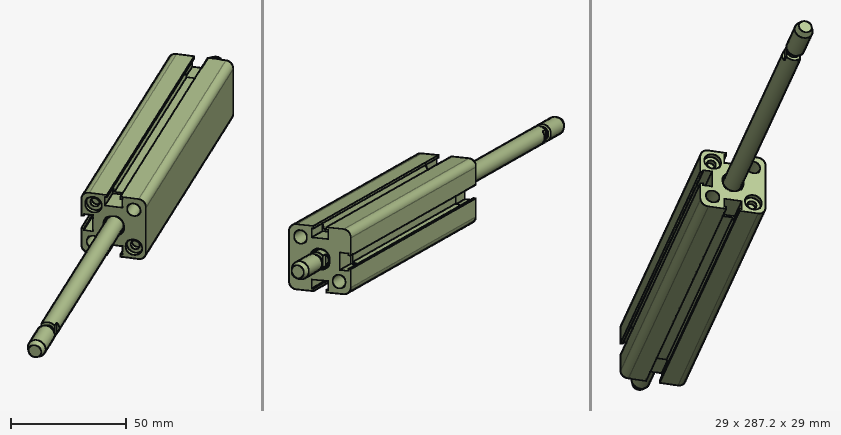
import cadquery as cq

BODY_SIDE = 29.0
BODY_LENGTH = 138.0
CORNER_RADIUS = 3.5
ROD_DIAMETER = 8.0
REAR_REACH = 24.5
STROKE = 100.2
FRONT_REACH = REAR_REACH + STROKE

CAP_LENGTH = 12.0
SLOT_OPENING = 6.0
SLOT_WIDTH = 7.7
SLOT_LIP = 1.1
CAP_SLOT_DEPTH = 5.2
BARREL_SLOT_DEPTH = 4.3
BARREL_SLOT_FLOOR_WIDTH = SLOT_OPENING

HOLE_SPACING = 18.0
HOLE_OFFSET = HOLE_SPACING / 2
THROUGH_DIAMETER = 3.2
THREAD_DIAMETER = 6.0
THREAD_DEPTH = CAP_LENGTH
SCREW_POCKET_DIAMETER = 7.5
SCREW_POCKET_DEPTH = 2.3
SOCKET_DIAMETER = 4.0
SOCKET_DEPTH = 2.3
ROD_CLEARANCE_DIAMETER = 9.5
ROD_CLEARANCE_DEPTH = 1.5

TIP_DIAMETER = 5.7
TIP_TAPER = 3.0
THREAD_END = 17.2
NECK_DIAMETER = 5.2
SHOULDER_DIAMETER = 6.0
SHOULDER_CHAMFER = 0.5
NECK_END = 20.7
FLAT_END = 23.8
FLAT_RUNOUT = 0.5
FLAT_WIDTH = 6.0

HALF_SIDE = BODY_SIDE / 2
REAR_FACE = BODY_LENGTH / 2
FRONT_FACE = -REAR_FACE
REAR_TIP = REAR_FACE + REAR_REACH
FRONT_TIP = FRONT_FACE - FRONT_REACH


def cylinder(x, z, y_start, diameter, length):
    """Cylinder running from y_start towards +Y."""
    start = cq.Vector(x, y_start, z)
    return cq.Workplane(cq.Solid.makeCylinder(diameter / 2, length, start, cq.Vector(0, 1, 0)))


def slot_cutter(length, depth, floor_width):
    """T-shaped slot of the given length in the top face, centred on Y = 0."""
    floor = HALF_SIDE - depth
    lip = HALF_SIDE - SLOT_LIP
    right_side = [
        (SLOT_OPENING / 2, HALF_SIDE),
        (SLOT_OPENING / 2, lip),
        (SLOT_WIDTH / 2, lip),
        (floor_width / 2, floor),
    ]
    left_side = [(-x, z) for x, z in reversed(right_side)]
    return cq.Workplane("XZ").polyline(right_side + left_side).close().extrude(length / 2, both=True)


def threaded_hole(x, z):
    """Through hole with a wider threaded length at each end."""
    hole = cylinder(x, z, FRONT_FACE, THROUGH_DIAMETER, BODY_LENGTH)
    for start in (FRONT_FACE, REAR_FACE - THREAD_DEPTH):
        hole = hole.union(cylinder(x, z, start, THREAD_DIAMETER, THREAD_DEPTH))
    return hole


def screw_pocket(x, z):
    """Round pocket in the front face with a narrower socket in its floor."""
    pocket = cylinder(x, z, FRONT_FACE, SCREW_POCKET_DIAMETER, SCREW_POCKET_DEPTH)
    return pocket.union(cylinder(x, z, FRONT_FACE, SOCKET_DIAMETER, SCREW_POCKET_DEPTH + SOCKET_DEPTH))


def make_body():
    """Square body with T-slots on all sides but +X, corner holes and rod clearances."""
    body = cq.Workplane().box(BODY_SIDE, BODY_LENGTH, BODY_SIDE).edges("|Y").fillet(CORNER_RADIUS)
    barrel_slot = slot_cutter(BODY_LENGTH, BARREL_SLOT_DEPTH, BARREL_SLOT_FLOOR_WIDTH)
    cap_slot = slot_cutter(CAP_LENGTH, CAP_SLOT_DEPTH, SLOT_WIDTH)
    cap_middle = (BODY_LENGTH - CAP_LENGTH) / 2
    slot = barrel_slot
    for y in (-cap_middle, cap_middle):
        slot = slot.union(cap_slot.translate((0, y, 0)))
    for angle in (0, 180, -90):
        body = body.cut(slot.rotate((0, 0, 0), (0, 1, 0), angle))
    for side in (1, -1):
        body = body.cut(threaded_hole(side * HOLE_OFFSET, side * HOLE_OFFSET))
        body = body.cut(screw_pocket(-side * HOLE_OFFSET, side * HOLE_OFFSET))
    for start in (FRONT_FACE, REAR_FACE - ROD_CLEARANCE_DEPTH):
        body = body.cut(cylinder(0, 0, start, ROD_CLEARANCE_DIAMETER, ROD_CLEARANCE_DEPTH))
    return body


def make_half_rod(length):
    """Rod from its tip at Y = 0 towards +Y: tapered tip, thread, neck and two wrench flats."""
    rod_radius = ROD_DIAMETER / 2
    neck_radius = NECK_DIAMETER / 2
    rod = (
        cq.Workplane()
        .lineTo(TIP_DIAMETER / 2, 0)
        .lineTo(rod_radius, TIP_TAPER)
        .lineTo(rod_radius, THREAD_END)
        .lineTo(SHOULDER_DIAMETER / 2, THREAD_END + SHOULDER_CHAMFER)
        .lineTo(neck_radius, THREAD_END + SHOULDER_CHAMFER)
        .lineTo(neck_radius, NECK_END)
        .lineTo(rod_radius, NECK_END)
        .lineTo(rod_radius, length)
        .lineTo(0, length)
        .close()
        .revolve(360, (0, 0), (0, 1))
    )
    flat = (
        cq.Workplane()
        .moveTo(FLAT_WIDTH / 2, NECK_END)
        .lineTo(rod_radius, NECK_END)
        .lineTo(rod_radius, FLAT_END + FLAT_RUNOUT)
        .lineTo(FLAT_WIDTH / 2, FLAT_END)
        .close()
        .extrude(rod_radius, both=True)
    )
    return rod.cut(flat).cut(flat.mirror("YZ"))


front_rod = make_half_rod(FRONT_REACH + REAR_FACE).translate((0, FRONT_TIP, 0))
rear_rod = make_half_rod(REAR_REACH + REAR_FACE).mirror("XZ").translate((0, REAR_TIP, 0))
result = make_body().union(front_rod).union(rear_rod)